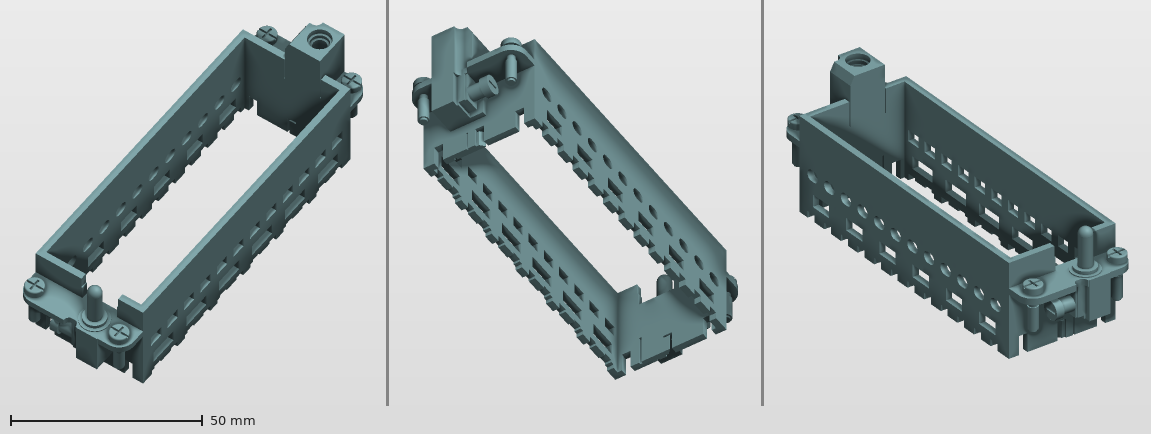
import cadquery as cq

FRAME_X, FRAME_Y, FRAME_Z = 34.4, 92.8, 29.1
WALL = 2.0
INNER_Y = FRAME_Y / 2 - WALL

FLANGE_TOP = 21.4
FLANGE_BOTTOM = FLANGE_TOP - WALL
FLANGE_END = 55.3
FLANGE_CORNER = 4.7
RELIEF_RADIUS = 1.9

BLOCK_END = 55.5
BLOCK_LEFT, BLOCK_RIGHT = -2.2, 8.9
BLOCK_BOTTOM = 9.0
BLOCK_CORNER_X, BLOCK_CORNER_DEPTH = 2.2, 1.9
CAVITY_FLOOR_X, CAVITY_NEAR = 1.8, 48.0
INSERT_BOTTOM, INSERT_GAP = 10.0, 0.8
PLATE_X, PLATE_THICKNESS, PLATE_SETBACK = -0.8, 0.7, 0.3
TOWER_TOP = 36.4
TOWER_CHAMFER_X, TOWER_CHAMFER_Z = 1.3, 2.5

OPENING_STEP = 0.3
PIN_STEP_Z, TOWER_STEP_Z = 25.6, FLANGE_TOP
END_SLOT_TOP = 5.8
CORNER_SLOT_X, CORNER_SLOT_WIDTH = 12.5, 2.7
KEY_SLOT_LEFT, KEY_SLOT_WIDTH = -1.5, 2.8
KEY_GAP, KEY_TOP, KEY_RECESS, KEY_CHAMFER = 0.7, 5.1, 0.5, 1.2
SLIT_X, SLIT_WIDTH, SLIT_DEPTH = 3.7, 0.5, 0.3
GROOVE_X, GROOVE_WIDTH, GROOVE_DEPTH = 8.2, 0.7, 0.7

CONTACT_COUNT = 12
PITCH = 81 / (CONTACT_COUNT - 1)
OVAL_LENGTH, OVAL_HEIGHT, OVAL_Z = 4.5, 3.3, 13.5
WINDOW_LENGTH, WINDOW_BOTTOM, WINDOW_TOP = 7.2, 4.3, 8.1
FAR_WINDOW_LENGTH, FAR_WINDOW_SHIFT = 9.0, -0.4
NOTCH_LENGTH, NOTCH_HEIGHT, NOTCH_SHIFT = 3.0, 2.0, 0.7
FAR_NOTCH_LENGTH, FAR_NOTCH_HEIGHT = 11.2, 1.2

SCREW_X, SCREW_Y = 13.5, 52.1
HEAD_TOP, HEAD_BOTTOM, HEAD_DIAMETER, HEAD_ROUND = 24.4, 22.3, 5.5, 0.4
SHANK_DIAMETER = 2.4
THREAD_TOP, THREAD_BOTTOM, THREAD_DIAMETER = 17.8, 10.9, 3.1
TIP_END, TIP_DIAMETER = 10.2, 2.2
DRIVE_WIDTH, DRIVE_DEPTH, CROSS_LENGTH = 0.7, 0.8, 3.8

CLAMP_Y, CLAMP_Z = 51.3, 13.5
CLAMP_SHANK_DIAMETER, CLAMP_HEAD_DIAMETER = 4.2, 5.7
CLAMP_END_X, CLAMP_HEAD_LENGTH = -7.3, 2.4

PIN_X, PIN_Y = 4.5, 50.4
PIN_DIAMETER, PIN_TOP = 4.1, 34.4
PIN_RINGS = ((8.7, 0.3), (6.7, 1.3))
SOCKET_DEPTH = 13.3
SOCKET_STEPS = ((6.7, 1.7), (5.4, 2.8), (PIN_DIAMETER, SOCKET_DEPTH))


def block(x0, x1, y0, y1, z0, z1):
    """Box between two opposite corners."""
    return cq.Workplane("XY").box(x1 - x0, y1 - y0, z1 - z0, centered=False).translate((x0, y0, z0))


def post(x, y, z0, z1, diameter):
    """Upright round post."""
    return cq.Workplane("XY").workplane(offset=z0).center(x, y).circle(diameter / 2).extrude(z1 - z0)


def mirrored(body):
    """The -Y counterpart of a body on the +Y side."""
    return body.mirror("XZ")


def frame():
    outer = cq.Workplane("XY").rect(FRAME_X, FRAME_Y).extrude(FRAME_Z)
    return outer.cut(cq.Workplane("XY").rect(FRAME_X - 2 * WALL, 2 * INNER_Y).extrude(FRAME_Z))


def through_wall(outline, side):
    """Extrude a YZ outline through the long wall on the -X (-1) or +X (+1) side."""
    return outline.extrude(side * FRAME_X)


def long_wall_openings():
    contacts = [(i - (CONTACT_COUNT - 1) / 2) * PITCH for i in range(CONTACT_COUNT)]
    windows = [(i - (CONTACT_COUNT / 2 - 1) / 2) * 2 * PITCH for i in range(CONTACT_COUNT // 2)]
    window_z = (WINDOW_BOTTOM + WINDOW_TOP) / 2
    window_height = WINDOW_TOP - WINDOW_BOTTOM

    def outlines_at(positions, z):
        return cq.Workplane("YZ").pushPoints([(y, z) for y in positions])

    cutter = through_wall(outlines_at(contacts, OVAL_Z).slot2D(OVAL_LENGTH, OVAL_HEIGHT), -1)
    cutter = cutter.union(through_wall(outlines_at(contacts, OVAL_Z).rect(OVAL_LENGTH, OVAL_HEIGHT), 1))

    near_windows = outlines_at(windows, window_z).rect(WINDOW_LENGTH, window_height)
    cutter = cutter.union(through_wall(near_windows, -1))
    far_positions = [y + FAR_WINDOW_SHIFT for y in windows]
    far_windows = outlines_at(far_positions, window_z).rect(FAR_WINDOW_LENGTH, window_height)
    cutter = cutter.union(through_wall(far_windows, 1))

    notch_positions = [y + NOTCH_SHIFT for y in contacts]
    for side in (-1, 1):
        notches = outlines_at(notch_positions, 0).rect(NOTCH_LENGTH, 2 * NOTCH_HEIGHT)
        cutter = cutter.union(through_wall(notches, side))

    far_notches = outlines_at(windows, 0).rect(FAR_NOTCH_LENGTH, 2 * FAR_NOTCH_HEIGHT)
    return cutter.union(through_wall(far_notches, 1))


def end_wall_openings(step_z):
    """Cuts in the +Y end wall; the top opening is slightly wider above step_z."""
    outside = FRAME_Y / 2
    cutter = block(BLOCK_LEFT, BLOCK_RIGHT, INNER_Y, outside, FLANGE_TOP, FRAME_Z)
    upper = block(BLOCK_LEFT - OPENING_STEP, BLOCK_RIGHT + OPENING_STEP,
                  INNER_Y, outside, step_z, FRAME_Z)
    cutter = cutter.union(upper)

    slots = (
        (-CORNER_SLOT_X, CORNER_SLOT_WIDTH, WALL),
        (CORNER_SLOT_X, CORNER_SLOT_WIDTH, WALL),
        (SLIT_X, SLIT_WIDTH, SLIT_DEPTH),
    )
    for x, width, depth in slots:
        cutter = cutter.union(block(x - width / 2, x + width / 2, outside - depth, outside, 0, END_SLOT_TOP))

    key_right = KEY_SLOT_LEFT + KEY_SLOT_WIDTH
    key = block(KEY_SLOT_LEFT, key_right, INNER_Y, outside, 0, END_SLOT_TOP)
    web = block(KEY_SLOT_LEFT + KEY_GAP, key_right, INNER_Y, outside - KEY_RECESS, 0, KEY_TOP)
    web = web.edges("|Z and <X and >Y").chamfer(KEY_CHAMFER)
    cutter = cutter.union(key.cut(web))

    groove = block(GROOVE_X - GROOVE_WIDTH / 2, GROOVE_X + GROOVE_WIDTH / 2,
                   INNER_Y, INNER_Y + GROOVE_DEPTH, 0, BLOCK_BOTTOM)
    return cutter.union(groove)


def flange():
    length = FLANGE_END - INNER_Y
    plate = block(-FRAME_X / 2, FRAME_X / 2, INNER_Y, INNER_Y + length, FLANGE_BOTTOM, FLANGE_TOP)
    return plate.edges("|Z and >Y").fillet(FLANGE_CORNER)


def flange_relief(top):
    """Round notch in the middle of the flange edge."""
    return post(0, FLANGE_END, FLANGE_BOTTOM, top, 2 * RELIEF_RADIUS)


def guide_block():
    corner_y = BLOCK_END - BLOCK_CORNER_DEPTH
    body = block(BLOCK_LEFT, BLOCK_RIGHT, INNER_Y, BLOCK_END, BLOCK_BOTTOM, FLANGE_TOP)
    body = body.cut(block(BLOCK_LEFT, BLOCK_CORNER_X, corner_y, BLOCK_END, BLOCK_BOTTOM, FLANGE_TOP))

    body = body.cut(block(BLOCK_LEFT, CAVITY_FLOOR_X, CAVITY_NEAR, corner_y, BLOCK_BOTTOM, FLANGE_BOTTOM))
    insert_near = CAVITY_NEAR + INSERT_GAP
    plate_right = PLATE_X + PLATE_THICKNESS
    plate = block(PLATE_X, plate_right, insert_near, corner_y - PLATE_SETBACK, INSERT_BOTTOM, FLANGE_BOTTOM)
    insert = block(plate_right, CAVITY_FLOOR_X, insert_near, corner_y, INSERT_BOTTOM, FLANGE_BOTTOM)
    return body.union(plate).union(insert)


def corner_screw(x):
    head = post(x, SCREW_Y, HEAD_BOTTOM, HEAD_TOP, HEAD_DIAMETER).faces(">Z").edges().fillet(HEAD_ROUND)
    drive_floor = HEAD_TOP - DRIVE_DEPTH
    for size_x, size_y in ((HEAD_DIAMETER, DRIVE_WIDTH), (DRIVE_WIDTH, CROSS_LENGTH)):
        head = head.cut(block(x - size_x / 2, x + size_x / 2, SCREW_Y - size_y / 2, SCREW_Y + size_y / 2,
                              drive_floor, HEAD_TOP))
    screw = head.union(post(x, SCREW_Y, TIP_END, HEAD_BOTTOM, TIP_DIAMETER))
    screw = screw.union(post(x, SCREW_Y, THREAD_TOP, HEAD_BOTTOM, SHANK_DIAMETER))
    return screw.union(post(x, SCREW_Y, THREAD_BOTTOM, THREAD_TOP, THREAD_DIAMETER))


def clamp_screw():
    start = cq.Workplane("YZ", origin=(CLAMP_END_X, CLAMP_Y, CLAMP_Z))
    head = start.circle(CLAMP_HEAD_DIAMETER / 2).extrude(CLAMP_HEAD_LENGTH)
    screw = head.union(start.circle(CLAMP_SHANK_DIAMETER / 2).extrude(PLATE_X - CLAMP_END_X))
    return screw.cut(start.rect(CROSS_LENGTH, DRIVE_WIDTH).extrude(DRIVE_DEPTH))


def end_fittings():
    """Everything carried outside the +Y end wall that the -Y end repeats."""
    body = flange().cut(flange_relief(FLANGE_TOP))
    body = body.union(guide_block())
    for x in (-SCREW_X, SCREW_X):
        body = body.union(corner_screw(x))
    return body.union(clamp_screw())


def round_nose():
    """Ball that rounds the pin tip and the bottom of its socket."""
    return cq.Workplane("XY").sphere(PIN_DIAMETER / 2)


def socket_tower():
    profile = (
        cq.Workplane("XZ", origin=(0, BLOCK_END, 0))
        .moveTo(BLOCK_LEFT, FLANGE_BOTTOM)
        .lineTo(BLOCK_RIGHT, FLANGE_BOTTOM)
        .lineTo(BLOCK_RIGHT, TOWER_TOP)
        .lineTo(BLOCK_LEFT + TOWER_CHAMFER_X, TOWER_TOP)
        .lineTo(BLOCK_LEFT, TOWER_TOP - TOWER_CHAMFER_Z)
        .close()
    )
    tower = profile.extrude(BLOCK_END - INNER_Y)
    tower = tower.cut(flange_relief(TOWER_TOP))
    relief_floor = FLANGE_END - RELIEF_RADIUS
    tower = tower.cut(block(BLOCK_LEFT, 0, relief_floor, BLOCK_END, FLANGE_BOTTOM, TOWER_TOP))
    for diameter, depth in SOCKET_STEPS:
        tower = tower.cut(post(PIN_X, PIN_Y, TOWER_TOP - depth, TOWER_TOP, diameter))
    return tower.cut(round_nose().translate((PIN_X, PIN_Y, TOWER_TOP - SOCKET_DEPTH)))


def guide_pin():
    """Round-nosed pin with its seating rings, on the -Y flange."""
    pin = post(PIN_X, -PIN_Y, FLANGE_BOTTOM, PIN_TOP - PIN_DIAMETER / 2, PIN_DIAMETER)
    pin = pin.union(round_nose().translate((PIN_X, -PIN_Y, PIN_TOP - PIN_DIAMETER / 2)))
    for diameter, height in PIN_RINGS:
        pin = pin.union(post(PIN_X, -PIN_Y, FLANGE_TOP, FLANGE_TOP + height, diameter))
    return pin


fittings = end_fittings()

result = frame().cut(long_wall_openings())
result = result.cut(end_wall_openings(TOWER_STEP_Z)).cut(mirrored(end_wall_openings(PIN_STEP_Z)))
result = result.union(fittings).union(mirrored(fittings))
result = result.union(socket_tower()).union(guide_pin())